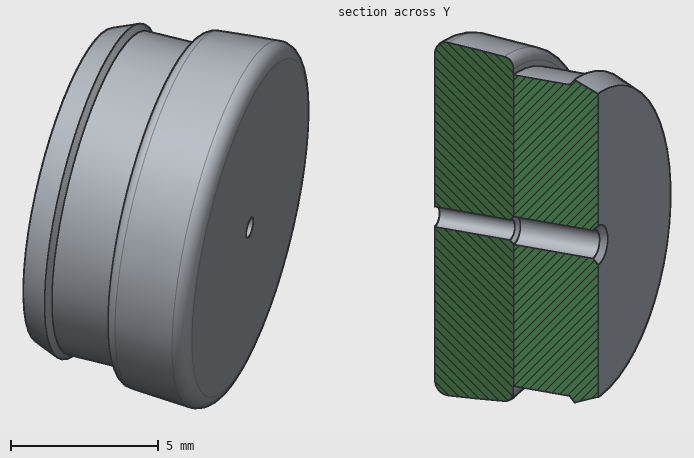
import cadquery as cq

total_length = 6.2

lip_face_radius = 5.49
lip_peak_radius = 5.85
lip_peak_x = 0.9
neck_radius = 5.65
neck_start_x = 1.09

cap_start_x = 3.2
cap_start_radius = 6.22
cap_end_radius = 6.44
cap_start_fillet = 0.38
cap_end_fillet = 0.5

countersink_radius = 0.7
countersink_depth = 0.2
plug_bore_radius = countersink_radius - countersink_depth
cap_hole_radius = 0.36
funnel_depth = plug_bore_radius - cap_hole_radius


def turned(profile):
    """Turn a closed (x, radius) outline around the X axis."""
    return cq.Workplane("XY").polyline(profile).close().revolve(360, (0, 0, 0), (1, 0, 0))


def make_plug():
    return turned([
        (0, countersink_radius),
        (0, lip_face_radius),
        (lip_peak_x, lip_peak_radius),
        (neck_start_x, neck_radius),
        (cap_start_x, neck_radius),
        (cap_start_x, plug_bore_radius),
        (countersink_depth, plug_bore_radius),
    ])


def make_cap():
    cap = turned([
        (cap_start_x + funnel_depth, cap_hole_radius),
        (cap_start_x, plug_bore_radius),
        (cap_start_x, cap_start_radius),
        (total_length, cap_end_radius),
        (total_length, cap_hole_radius),
    ])
    outer_edge = cq.selectors.RadiusNthSelector(-1)
    cap = cap.faces("<X").edges(outer_edge).fillet(cap_start_fillet)
    return cap.faces(">X").edges(outer_edge).fillet(cap_end_fillet)


plug = make_plug()
cap = make_cap()
result = cq.Compound.makeCompound([plug.val(), cap.val()])